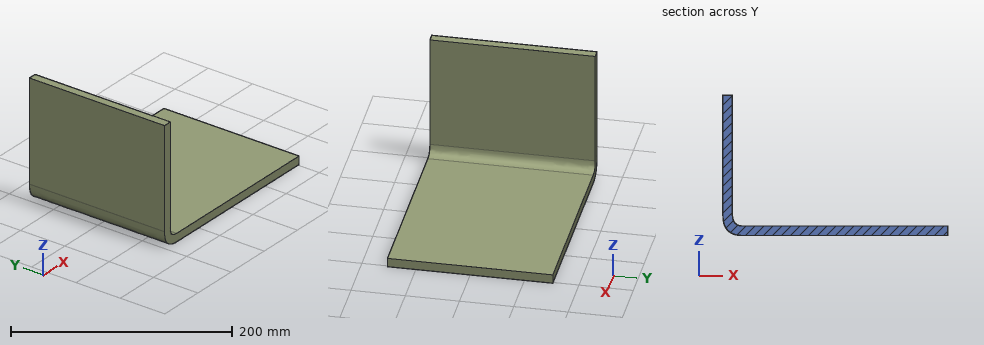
import cadquery as cq

length = 203.2
width = 152.4
height = 127.0

thickness = 8.8
inner_setback = 9.525
bend_end = thickness + inner_setback


def bent_profile():
    """L section in the XZ plane with a parabolic curve on each side of the bend.

    Each curve is tangent to both legs, its middle control point being the sharp corner.
    """
    outer_corner = (0, 0)
    inner_corner = (thickness, thickness)
    return (
        cq.Workplane("XZ")
        .moveTo(bend_end, 0)
        .lineTo(length, 0)
        .lineTo(length, thickness)
        .lineTo(bend_end, thickness)
        .bezier([(bend_end, thickness), inner_corner, (thickness, bend_end)])
        .lineTo(thickness, height)
        .lineTo(0, height)
        .lineTo(0, bend_end)
        .bezier([(0, bend_end), outer_corner, (bend_end, 0)])
        .close()
    )


result = bent_profile().extrude(-width)